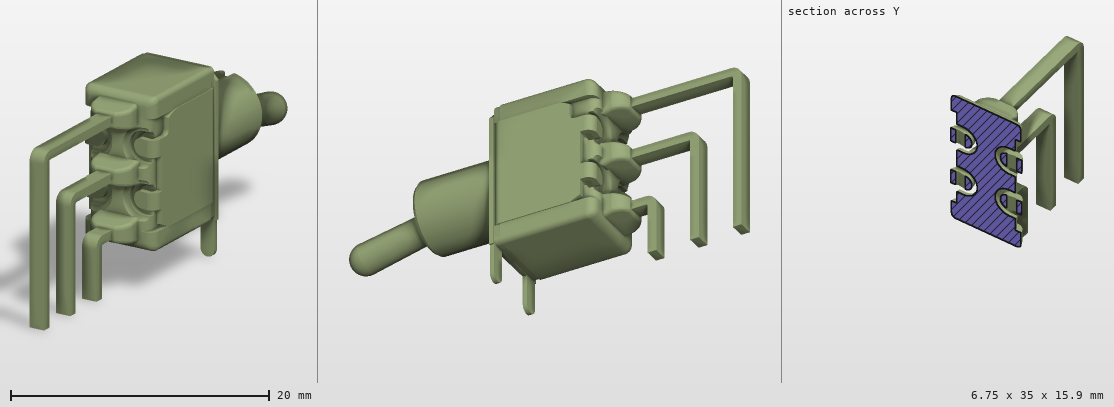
import cadquery as cq
import math


OVERALL_LENGTH = 34.97

CASE_HALF_X = 3.3
CASE_HALF_Z = 6.35
CASE_LENGTH = 8.32
CASE_EDGE_R = 0.42
CASE_BACK_R = 0.77
NECK_LENGTH = 0.55
NECK_INSET = 0.07

SHEET = 0.5
PLATE_THICK = 0.4
BRACKET_HALF_X = 6.75 / 2
BRACKET_HALF_Z = 4.7
PLATE_TOP = 6.12
PLATE_BOTTOM = -6.33
PLATE_CORNER = 0.95
LEG_WIDTH = 1.25
LEG_X = 2.6
LEG_BOTTOM = -9.45
CHEEK_INNER_X = BRACKET_HALF_X - SHEET
CORE_GAP = 0.1
CORE_HALF_X = CHEEK_INNER_X - CORE_GAP
NECK_FRONT = CASE_LENGTH + NECK_LENGTH
PLATE_FRONT = NECK_FRONT + PLATE_THICK

NOTCH_Y = 1.2
CUT_Y = 2.1
UPPER_CUT_Z = 4.25
UPPER_CURVE_START_Y = 3.35
UPPER_CURVE_MID = (2.65, 4.55)
UPPER_CUT_CORNER_R = 0.42
LOWER_CUT_Z = -4.25

TAB_Z = 2.17
TAB_WIDTH = 1.4
TAB_TIP_X = 1.33
TAB_TIP_R = 0.65
TAB_BACK_Y = 0.1
TAB_TIP_Y = 0.3
TAB_BEND_R = 0.75
POCKET_FLOOR_WIDTH = 1.85
POCKET_ROUND_X = 2.17
POCKET_DEPTH = 1.2
POCKET_EDGE_R = 0.4

TERMINAL_PITCH_Z = 4.7
TERMINAL_PITCH_Y = 3.78
TERMINAL_COUNT = 3
TERMINAL_WIDTH = 1.33
TERMINAL_THICK = 0.77
TERMINAL_BEND_R = 0.9
TERMINAL_INNER_R = TERMINAL_BEND_R - TERMINAL_THICK
TERMINAL_BOTTOM = -9.5
LONGEST_REACH = 11.6
BOSS_HALF_X = 1.85
BOSS_STRAIGHT = 0.77
BOSS_LENGTH = 1.85
BOSS_END_HALF_X = 0.87
BOSS_ARC_MID = (1.55, -1.4)
BOSS_ROOT_HALF_Z = 1.12
BOSS_END_HALF_Z = 0.65
BOSS_RIM_R = 0.3
ROOT = 0.35

BUSHING_R = 3.08
BUSHING_END = 16.3
BUSHING_CHAMFER_Y = 0.28
BUSHING_CHAMFER_R = 0.2
KEYWAY_WIDTH = 0.98
KEYWAY_DEPTH = 0.55

LEVER_TILT = 11.8
LEVER_TIP = OVERALL_LENGTH - LONGEST_REACH
LEVER_BALL_R = 2.62 / 2
LEVER_TAPER = 1.0
LEVER_PIVOT_Y = 13.15


def box(x0, x1, y0, y1, z0, z1):
    return cq.Workplane("XY").box(x1 - x0, y1 - y0, z1 - z0, centered=False).translate((x0, y0, z0))


def both_sides(shape):
    return shape.union(shape.mirror("YZ"))


def make_case():
    outer = box(-CASE_HALF_X, CASE_HALF_X, 0, CASE_LENGTH, -CASE_HALF_Z, CASE_HALF_Z)
    outer = outer.edges("|Y").fillet(CASE_EDGE_R).faces("<Y").edges().fillet(CASE_BACK_R)
    neck_x = CASE_HALF_X - NECK_INSET
    neck_z = CASE_HALF_Z - NECK_INSET
    neck = box(-neck_x, neck_x, CASE_LENGTH - ROOT, NECK_FRONT, -neck_z, neck_z)
    neck = neck.edges("|Y").fillet(CASE_EDGE_R)
    band = box(-BRACKET_HALF_X, BRACKET_HALF_X, 0, NECK_FRONT, -BRACKET_HALF_Z, BRACKET_HALF_Z)
    core = box(-CORE_HALF_X, CORE_HALF_X, 0, NECK_FRONT, -BRACKET_HALF_Z, BRACKET_HALF_Z)
    core = core.edges("<Y and |Z").fillet(CASE_BACK_R)
    return outer.union(neck).cut(band).union(core)


def pocket_half_section(plane):
    """Half section of a pocket, with a convex rim, a straight wall and a concave floor corner."""
    floor_half = POCKET_FLOOR_WIDTH / 2
    wall = floor_half + POCKET_EDGE_R
    return (
        cq.Workplane(plane)
        .lineTo(wall + POCKET_EDGE_R, 0)
        .radiusArc((wall, POCKET_EDGE_R), -POCKET_EDGE_R)
        .lineTo(wall, POCKET_DEPTH - POCKET_EDGE_R)
        .radiusArc((floor_half, POCKET_DEPTH), POCKET_EDGE_R)
        .lineTo(0, POCKET_DEPTH)
        .close()
    )


def make_pocket(z):
    """Pocket with a round inner end, open through the side of the case core."""
    round_end = pocket_half_section("XY").revolve(360, (0, 0, 0), (0, 1, 0))
    half_run = pocket_half_section("ZY").extrude(POCKET_ROUND_X - BRACKET_HALF_X)
    run = half_run.union(half_run.mirror("XY"))
    return round_end.union(run).translate((POCKET_ROUND_X, 0, z))


def make_plate():
    """Front plate of the bracket with its two round-ended mounting legs."""
    side = BRACKET_HALF_X
    plate = box(-side, side, NECK_FRONT, PLATE_FRONT, PLATE_BOTTOM, PLATE_TOP)
    plate = plate.edges("|Y and >Z").chamfer(PLATE_CORNER)
    leg = box(LEG_X - LEG_WIDTH / 2, LEG_X + LEG_WIDTH / 2, NECK_FRONT, PLATE_FRONT,
              LEG_BOTTOM + LEG_WIDTH / 2, PLATE_BOTTOM + ROOT)
    leg_tip = (
        cq.Workplane("XZ", origin=(LEG_X, PLATE_FRONT, LEG_BOTTOM + LEG_WIDTH / 2))
        .circle(LEG_WIDTH / 2)
        .extrude(PLATE_THICK)
    )
    return plate.union(both_sides(leg.union(leg_tip)))


def make_cheek():
    """Side wall of the bracket, notched at the back so that only the tabs reach round the case."""
    tab_top = TAB_Z + TAB_WIDTH / 2
    tab_bottom = TAB_Z - TAB_WIDTH / 2
    tab_start = TAB_BACK_Y + TAB_BEND_R
    cheek = (
        cq.Workplane("YZ", origin=(CHEEK_INNER_X, 0, 0))
        .moveTo(NECK_FRONT, BRACKET_HALF_Z)
        .lineTo(UPPER_CURVE_START_Y, BRACKET_HALF_Z)
        .threePointArc(UPPER_CURVE_MID, (CUT_Y, UPPER_CUT_Z))
        .lineTo(CUT_Y, tab_top + UPPER_CUT_CORNER_R)
        .radiusArc((CUT_Y - UPPER_CUT_CORNER_R, tab_top), UPPER_CUT_CORNER_R)
        .lineTo(tab_start, tab_top)
        .lineTo(tab_start, tab_bottom)
        .lineTo(NOTCH_Y, tab_bottom)
        .lineTo(NOTCH_Y, -tab_bottom)
        .lineTo(tab_start, -tab_bottom)
        .lineTo(tab_start, -tab_top)
        .lineTo(NOTCH_Y, -tab_top)
        .lineTo(NOTCH_Y, LOWER_CUT_Z)
        .lineTo(CUT_Y, -BRACKET_HALF_Z)
        .lineTo(NECK_FRONT, -BRACKET_HALF_Z)
        .close()
        .extrude(SHEET)
    )
    front_bend = (
        cq.Workplane("XY", origin=(0, 0, -BRACKET_HALF_Z))
        .moveTo(BRACKET_HALF_X, NECK_FRONT - NECK_LENGTH)
        .lineTo(BRACKET_HALF_X, NECK_FRONT)
        .lineTo(BRACKET_HALF_X - NECK_LENGTH, NECK_FRONT)
        .radiusArc((BRACKET_HALF_X, NECK_FRONT - NECK_LENGTH), NECK_LENGTH)
        .close()
        .extrude(2 * BRACKET_HALF_Z)
    )
    return cheek.cut(front_bend)


def make_tab(z):
    """Tab that continues a cheek round the back corner and dips into its pocket."""
    bend_x = BRACKET_HALF_X - TAB_BEND_R
    bend_y = TAB_BACK_Y + TAB_BEND_R
    inner_r = TAB_BEND_R - SHEET
    strip = (
        cq.Workplane("XY", origin=(0, 0, z - TAB_WIDTH / 2))
        .moveTo(BRACKET_HALF_X, bend_y)
        .radiusArc((bend_x, TAB_BACK_Y), TAB_BEND_R)
        .lineTo(TAB_TIP_X, TAB_TIP_Y)
        .lineTo(TAB_TIP_X, TAB_TIP_Y + SHEET)
        .lineTo(bend_x, TAB_BACK_Y + SHEET)
        .radiusArc((CHEEK_INNER_X, bend_y), -inner_r)
        .close()
        .extrude(TAB_WIDTH)
    )
    return strip.faces("<X").edges("not |Z").fillet(TAB_TIP_R)


def make_boss(z):
    """Boss that narrows toward its end both in plan and in height, with rounded rims."""
    plan = (
        cq.Workplane("XY", origin=(0, 0, -BOSS_ROOT_HALF_Z))
        .moveTo(-BOSS_HALF_X, ROOT)
        .lineTo(-BOSS_HALF_X, -BOSS_STRAIGHT)
        .threePointArc((-BOSS_ARC_MID[0], BOSS_ARC_MID[1]), (-BOSS_END_HALF_X, -BOSS_LENGTH))
        .lineTo(BOSS_END_HALF_X, -BOSS_LENGTH)
        .threePointArc(BOSS_ARC_MID, (BOSS_HALF_X, -BOSS_STRAIGHT))
        .lineTo(BOSS_HALF_X, ROOT)
        .close()
        .extrude(2 * BOSS_ROOT_HALF_Z)
    )
    wedge = (
        cq.Workplane("YZ", origin=(-BOSS_HALF_X, 0, 0))
        .moveTo(ROOT, BOSS_ROOT_HALF_Z)
        .lineTo(-BOSS_LENGTH, BOSS_END_HALF_Z)
        .lineTo(-BOSS_LENGTH, -BOSS_END_HALF_Z)
        .lineTo(ROOT, -BOSS_ROOT_HALF_Z)
        .close()
        .extrude(2 * BOSS_HALF_X)
    )
    boss = plan.intersect(wedge)
    boss = boss.faces(">Z or <Z").edges().fillet(BOSS_RIM_R)
    return boss.translate((0, 0, z))


def make_terminal(z, reach):
    """Flat terminal that runs back out of the case and bends straight down."""
    top = z + TERMINAL_THICK / 2
    bottom = z - TERMINAL_THICK / 2
    inner_y = -reach + TERMINAL_THICK
    return (
        cq.Workplane("YZ", origin=(-TERMINAL_WIDTH / 2, 0, 0))
        .moveTo(ROOT, top)
        .lineTo(-reach + TERMINAL_BEND_R, top)
        .radiusArc((-reach, top - TERMINAL_BEND_R), -TERMINAL_BEND_R)
        .lineTo(-reach, TERMINAL_BOTTOM)
        .lineTo(inner_y, TERMINAL_BOTTOM)
        .lineTo(inner_y, bottom - TERMINAL_INNER_R)
        .radiusArc((inner_y + TERMINAL_INNER_R, bottom), TERMINAL_INNER_R)
        .lineTo(ROOT, bottom)
        .close()
        .extrude(TERMINAL_WIDTH)
    )


def make_bushing():
    bushing = (
        cq.Workplane("XY")
        .moveTo(0, NECK_FRONT)
        .lineTo(BUSHING_R, NECK_FRONT)
        .lineTo(BUSHING_R, BUSHING_END - BUSHING_CHAMFER_Y)
        .lineTo(BUSHING_R - BUSHING_CHAMFER_R, BUSHING_END)
        .lineTo(0, BUSHING_END)
        .close()
        .revolve(360, (0, 0, 0), (0, 1, 0))
    )
    half = KEYWAY_WIDTH / 2
    keyway = box(-half, half, PLATE_FRONT, BUSHING_END, BUSHING_R - KEYWAY_DEPTH, BUSHING_R)
    return bushing.cut(keyway)


def make_lever():
    """Tapered round lever with a ball end, tilted down about its pivot in the bushing."""
    tilt = math.radians(LEVER_TILT)
    taper = math.radians(LEVER_TAPER)
    length = (LEVER_TIP - LEVER_BALL_R - LEVER_PIVOT_Y) / math.cos(tilt)
    tangent_r = LEVER_BALL_R * math.cos(taper)
    tangent_y = length + LEVER_BALL_R * math.sin(taper)
    pivot_r = tangent_r - tangent_y * math.tan(taper)
    lever = (
        cq.Workplane("XY")
        .lineTo(pivot_r, 0)
        .lineTo(tangent_r, tangent_y)
        .radiusArc((0, length + LEVER_BALL_R), -LEVER_BALL_R)
        .close()
        .revolve(360, (0, 0, 0), (0, 1, 0))
    )
    return lever.rotate((0, 0, 0), (1, 0, 0), -LEVER_TILT).translate((0, LEVER_PIVOT_Y, 0))


def make_switch_body(lever):
    body = make_case()
    for z in (-TAB_Z, TAB_Z):
        body = body.cut(both_sides(make_pocket(z)))
    body = body.union(make_plate()).union(both_sides(make_cheek()))
    for z in (-TAB_Z, TAB_Z):
        body = body.union(both_sides(make_tab(z)))
    for i in range(TERMINAL_COUNT):
        z = (1 - i) * TERMINAL_PITCH_Z
        reach = LONGEST_REACH - i * TERMINAL_PITCH_Y
        body = body.union(make_boss(z)).union(make_terminal(z, reach))
    return body.union(make_bushing()).cut(lever)


lever = make_lever()
switch_body = make_switch_body(lever)
result = cq.Compound.makeCompound([switch_body.solids().val(), lever.val()])